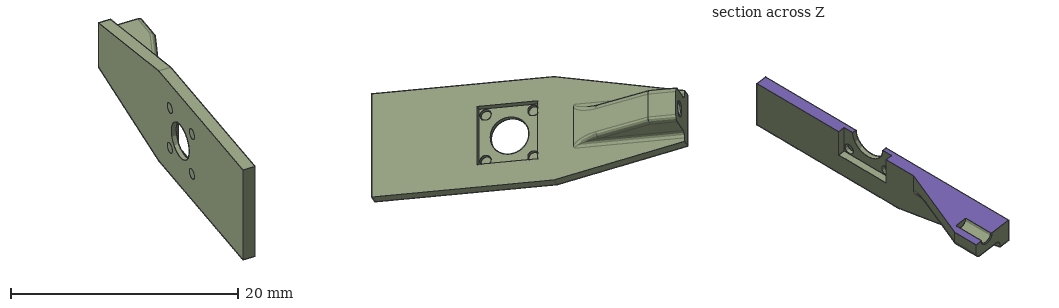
import cadquery as cq

plate_length = 28.45
plate_width = 9.81
plate_thickness = 1.2
nose_width = 4.83
taper_length = 11.87

overall_depth = 4.37
rib_width = 3.17
rib_flat_length = 2.53
rib_length = 10.1
edge_radius = 0.5

main_hole_diameter = 3.5
main_hole_x = 16.1
pocket_width = 5.5
pocket_floor = 0.48
small_hole_diameter = 1.0
small_hole_offset = 2.17
small_hole_floor = 0.07
end_hole_diameter = 1.25
end_hole_mouth_diameter = 1.45
end_hole_depth = 3.0
end_hole_y = 2.97


def make_plate():
    half_nose = nose_width / 2
    half_width = plate_width / 2
    outline = [
        (0, -half_nose),
        (taper_length, -half_width),
        (plate_length, -half_width),
        (plate_length, half_width),
        (taper_length, half_width),
        (0, half_nose),
    ]
    return cq.Workplane("XZ").polyline(outline).close().extrude(-plate_thickness)


def round_rib_edges(blank):
    """Round the side edges of the flat top and of the sloping face."""
    slope_direction = cq.Vector(rib_length - rib_flat_length, plate_thickness - overall_depth, 0)
    flat_edges = blank.faces(">Y").edges("|X")
    slope_edges = blank.edges(cq.selectors.ParallelDirSelector(slope_direction))
    return flat_edges.add(slope_edges).fillet(edge_radius)


def make_rib():
    """Rounded rib with flared roots, cut down to the plate by a sloping face."""
    half_width = rib_width / 2
    flare_half_width = half_width + edge_radius
    flare_top = plate_thickness + edge_radius
    section = (
        cq.Workplane("YZ")
        .moveTo(plate_thickness, -flare_half_width)
        .radiusArc((flare_top, -half_width), edge_radius)
        .lineTo(overall_depth, -half_width)
        .lineTo(overall_depth, half_width)
        .lineTo(flare_top, half_width)
        .radiusArc((plate_thickness, flare_half_width), edge_radius)
        .close()
        .extrude(rib_length)
    )
    side_profile = [
        (0, plate_thickness),
        (rib_length, plate_thickness),
        (rib_flat_length, overall_depth),
        (0, overall_depth),
    ]
    envelope = (
        cq.Workplane("XY")
        .polyline(side_profile)
        .close()
        .extrude(flare_half_width, both=True)
    )
    blank = section.intersect(envelope)
    return round_rib_edges(blank)


def make_main_hole():
    return (
        cq.Workplane("XZ")
        .center(main_hole_x, 0)
        .circle(main_hole_diameter / 2)
        .extrude(-plate_thickness)
    )


def make_pocket():
    """Square pocket in the back of the plate, leaving a thin floor around the main hole."""
    return (
        cq.Workplane("XZ", origin=(main_hole_x, plate_thickness, 0))
        .rect(pocket_width, pocket_width)
        .extrude(plate_thickness - pocket_floor)
    )


def make_small_holes():
    """Four blind holes in the corners of the pocket, deeper than the pocket."""
    return (
        cq.Workplane("XZ", origin=(main_hole_x, plate_thickness, 0))
        .rect(2 * small_hole_offset, 2 * small_hole_offset, forConstruction=True)
        .vertices()
        .circle(small_hole_diameter / 2)
        .extrude(plate_thickness - small_hole_floor)
    )


def make_end_hole():
    """Blind hole along X into the rib, with a 45 degree chamfer at its mouth."""
    bore_radius = end_hole_diameter / 2
    mouth_radius = end_hole_mouth_diameter / 2
    half_section = [
        (0, 0),
        (0, mouth_radius),
        (mouth_radius - bore_radius, bore_radius),
        (end_hole_depth, bore_radius),
        (end_hole_depth, 0),
    ]
    return (
        cq.Workplane("XY", origin=(0, end_hole_y, 0))
        .polyline(half_section)
        .close()
        .revolve(360, (0, 0, 0), (1, 0, 0))
    )


result = (
    make_plate()
    .union(make_rib())
    .cut(make_main_hole())
    .cut(make_pocket())
    .cut(make_small_holes())
    .cut(make_end_hole())
)